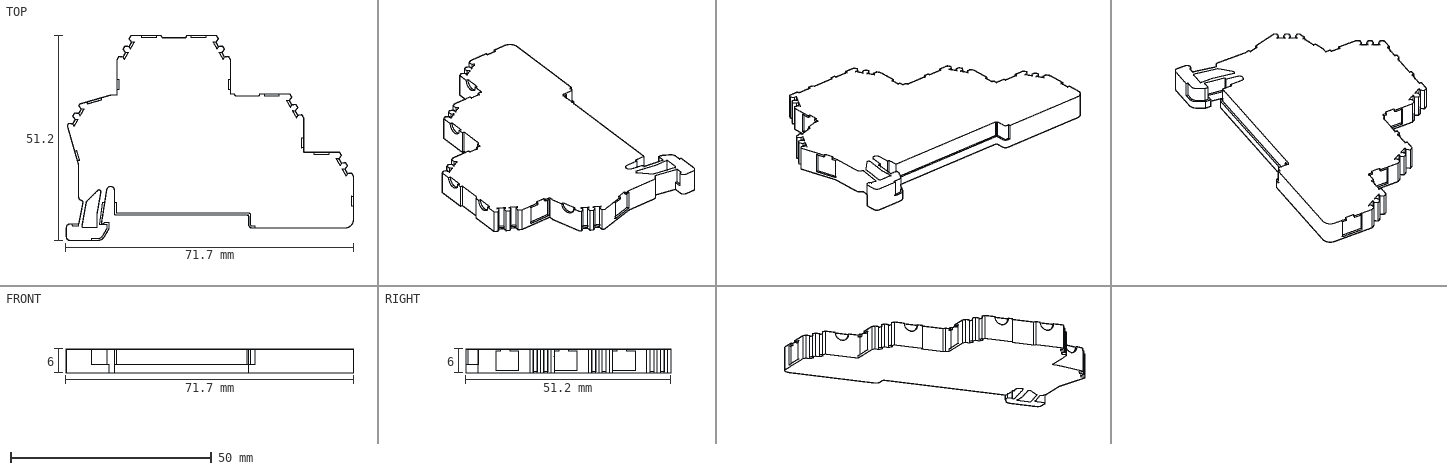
import cadquery as cq
import math

TOUCHING = 1e-6

LENGTH = 71.7
HEIGHT = 51.2
THICKNESS = 6.0

DECK_PITCH = 14.55
TOP_DECK = HEIGHT
MIDDLE_DECK = TOP_DECK - DECK_PITCH
LOW_DECK = MIDDLE_DECK - DECK_PITCH
TOWER_LEFT = 12.65
TOWER_RIGHT = 41.0
MIDDLE_RIGHT = 59.3
BOTTOM = 3.1
END_RADIUS = 2.2

BEVEL_ANGLE = 60.0
BEVEL_RUN = 3.5
BEVEL_RISE = BEVEL_RUN * math.tan(math.radians(BEVEL_ANGLE))

SLOT_PITCH = 3.0
SLOT_WIDTH = 2.05
NECK_WIDTH = 1.2
NECK_DEPTH = 0.95
UNDERCUT_DEPTH = 1.55
UNDERCUT_FLOOR = 0.45

TILT = 16.0
TILT_SLOPE = math.tan(math.radians(TILT))
TILT_DECK_END = 11.3
TILT_DECK_TOP = 36.4
TILT_BEVEL_SHIFT = (-12.55, -16.7)
LEFT_WALL = 3.05
TILT_WALL_BOTTOM = 18.9
TILT_CORNER_RADIUS = 0.4

RIM_DEPTH = 0.55
BRIDGE_RAMP = 0.45
TOWER_BRIDGE = (23.6, 30.0)
TOWER_BRIDGE_END_RAMP = 0.15
MIDDLE_BRIDGE = (41.85, 48.2)
MIDDLE_BRIDGE_END_RAMP = 0.05
BORE_SETBACK = 8.0
TILT_BORE_SETBACK = 4.55
BORE_RADIUS = 1.85
WINDOW_LENGTH = 5.65
WINDOW_BOTTOM = 0.65
WINDOW_TOP = 5.5
PRY_LENGTH = 2.4
PRY_CENTER = 2.3

RAIL_SEAT = 6.35
SEAT_LEFT = 12.0
SEAT_RIGHT = 45.5
SEAT_RADIUS = 0.4
SEAT_CORNER_RADIUS = 0.95
RELIEF_FLOOR = 2.15
RELIEF_STEP = 0.5
RELIEF_HEIGHT = 9.5
RELIEF_RIGHT_END = 47.1
FOOT_RELIEF_START = 6.25
FOOT_TOP_LEFT = 4.2
FOOT_TOP_RIGHT = 4.55
FOOT_RIGHT = 10.7
TOE_ANGLE = 60.0
TOE_TOP = 3.0
TOE_TIP = FOOT_RIGHT - TOE_TOP / math.tan(math.radians(TOE_ANGLE))
TOE_RADIUS = 2.0
FOOT_CORNER_RADIUS = 1.0
FOOT_NOTCH_START = 1.3
LEG_FOOT_LEFT = 3.1
LEG_FOOT_RIGHT = 8.8
SLIT_TOP = 13.5
SLIT_TOP_LEFT = 10.25
SLIT_LEAN = math.atan2(SLIT_TOP_LEFT - LEG_FOOT_RIGHT, SLIT_TOP - FOOT_TOP_LEFT)
SLIT_RADIUS = (SEAT_LEFT - SLIT_TOP_LEFT) / (1 + math.tan(math.pi / 4 - SLIT_LEAN / 2))
LEG_ROOT = (4.2, 9.75)
LEG_ROOT_RADIUS = 0.3
LEFT_WALL_BOTTOM = 10.4
LEFT_WALL_RADIUS = 0.9
LEG_FILLET = 0.2
TOE_LEDGE_START = 9.3
TOE_LEDGE_RAMP = 0.2
RELIEF_LEG_LEFT = 9.05

OPENING_BOTTOM = 3.3
OPENING_BOTTOM_LEFT = 3.9
OPENING_RIGHT = 7.65
OPENING_BEND = 6.7
OPENING_SHOULDER = (5.05, 9.75)
OPENING_PEAK = (8.85, 13.5)
OPENING_RADIUS = 0.3
OPENING_PEAK_RADIUS = 0.45


def toward(start, end, distance):
    """Point at a distance from start on the way to end."""
    span = math.dist(start, end)
    return tuple(a + (b - a) * distance / span for a, b in zip(start, end))


def corner_stops(points, i, radius):
    """Start, crown and end of the fillet on corner i, or just the corner if it is sharp."""
    point = points[i]
    if not radius:
        return [point]
    before = points[i - 1]
    after = points[(i + 1) % len(points)]
    turn_in = math.atan2(before[1] - point[1], before[0] - point[0])
    turn_out = math.atan2(after[1] - point[1], after[0] - point[0])
    half = abs(math.remainder(turn_out - turn_in, math.tau)) / 2
    reach = radius / math.tan(half)
    start = toward(point, before, reach)
    end = toward(point, after, reach)
    chord_middle = tuple((a + b) / 2 for a, b in zip(start, end))
    crown = toward(point, chord_middle, radius / math.sin(half) - radius)
    return [start, crown, end]


def rounded_prism(corners, bottom, top):
    """Prism over a closed outline of (x, y) or (x, y, fillet radius) corners."""
    points = [corner[:2] for corner in corners]
    radii = [corner[2] if len(corner) > 2 else 0 for corner in corners]
    stops = [corner_stops(points, i, radius) for i, radius in enumerate(radii)]
    outline = cq.Workplane("XY").workplane(offset=bottom).moveTo(*stops[-1][-1])
    last_end = stops[-1][-1]
    for corner in stops:
        if math.dist(last_end, corner[0]) > TOUCHING:
            outline = outline.lineTo(*corner[0])
        if len(corner) > 1:
            outline = outline.threePointArc(corner[1], corner[2])
        last_end = corner[-1]
    return outline.close().extrude(top - bottom)


def tilted_corners():
    """Upper and lower corner of the bevel on the tilted deck."""
    run = 1 / math.tan(math.radians(BEVEL_ANGLE))
    bevel_x = TOWER_LEFT + BEVEL_RUN + TILT_BEVEL_SHIFT[0]
    bevel_y = TOP_DECK + TILT_BEVEL_SHIFT[1]
    deck_y_at_zero = TILT_DECK_TOP - TILT_SLOPE * TILT_DECK_END
    upper_x = (bevel_x - run * (bevel_y - deck_y_at_zero)) / (1 - run * TILT_SLOPE)
    upper_y = deck_y_at_zero + TILT_SLOPE * upper_x
    wall_x_at_zero = LEFT_WALL + TILT_SLOPE * TILT_WALL_BOTTOM
    lower_y = (wall_x_at_zero - bevel_x + run * bevel_y) / (run + TILT_SLOPE)
    lower_x = wall_x_at_zero - TILT_SLOPE * lower_y
    return (upper_x, upper_y), (lower_x, lower_y)


def plate():
    """Full-thickness body with the stepped decks and the outside of the foot."""
    tilt_upper, tilt_lower = tilted_corners()
    corners = [
        (TOWER_LEFT, TILT_DECK_TOP),
        (TOWER_LEFT, TOP_DECK - BEVEL_RISE),
        (TOWER_LEFT + BEVEL_RUN, TOP_DECK),
        (TOWER_RIGHT - BEVEL_RUN, TOP_DECK),
        (TOWER_RIGHT, TOP_DECK - BEVEL_RISE),
        (TOWER_RIGHT, MIDDLE_DECK),
        (MIDDLE_RIGHT - BEVEL_RUN, MIDDLE_DECK),
        (MIDDLE_RIGHT, MIDDLE_DECK - BEVEL_RISE),
        (MIDDLE_RIGHT, LOW_DECK),
        (LENGTH - BEVEL_RUN, LOW_DECK),
        (LENGTH, LOW_DECK - BEVEL_RISE),
        (LENGTH, BOTTOM, END_RADIUS),
        (SEAT_RIGHT, BOTTOM, SEAT_CORNER_RADIUS),
        (SEAT_RIGHT, RAIL_SEAT, SEAT_RADIUS),
        (SEAT_LEFT, RAIL_SEAT, SEAT_RADIUS),
        (SEAT_LEFT, SLIT_TOP, SLIT_RADIUS),
        (SLIT_TOP_LEFT, SLIT_TOP, SLIT_RADIUS),
        (LEG_FOOT_RIGHT, FOOT_TOP_LEFT, LEG_FILLET),
        (TOE_LEDGE_START, FOOT_TOP_LEFT),
        (TOE_LEDGE_START + TOE_LEDGE_RAMP, FOOT_TOP_RIGHT),
        (FOOT_RIGHT, FOOT_TOP_RIGHT),
        (FOOT_RIGHT, TOE_TOP),
        (TOE_TIP, 0, TOE_RADIUS),
        (0, 0, FOOT_CORNER_RADIUS),
        (0, FOOT_TOP_LEFT, FOOT_CORNER_RADIUS),
        (LEG_FOOT_LEFT, FOOT_TOP_LEFT),
        (*LEG_ROOT, LEG_ROOT_RADIUS),
        (LEFT_WALL, LEFT_WALL_BOTTOM, LEFT_WALL_RADIUS),
        (LEFT_WALL, TILT_WALL_BOTTOM),
        (*tilt_lower, TILT_CORNER_RADIUS),
        (*tilt_upper, TILT_CORNER_RADIUS),
        (TILT_DECK_END, TILT_DECK_TOP),
    ]
    return rounded_prism(corners, 0, THICKNESS)


def leg_opening():
    """Opening between the two legs of the spring foot."""
    corners = [
        (*OPENING_SHOULDER, OPENING_RADIUS),
        (*OPENING_PEAK, OPENING_PEAK_RADIUS),
        (OPENING_RIGHT, OPENING_BEND),
        (OPENING_RIGHT, OPENING_BOTTOM),
        (OPENING_BOTTOM_LEFT, OPENING_BOTTOM, OPENING_RADIUS),
    ]
    return rounded_prism(corners, 0, THICKNESS)


def rail_relief():
    """Step cut back along the rail seat, the slit and the foot."""
    seat = [
        (SEAT_LEFT, RELIEF_HEIGHT),
        (SEAT_LEFT + RELIEF_STEP, RELIEF_HEIGHT),
        (SEAT_LEFT + RELIEF_STEP, RAIL_SEAT + RELIEF_STEP),
        (SEAT_RIGHT + RELIEF_STEP, RAIL_SEAT + RELIEF_STEP, SEAT_RADIUS),
        (SEAT_RIGHT + RELIEF_STEP, BOTTOM + RELIEF_STEP, SEAT_RADIUS),
        (RELIEF_RIGHT_END, BOTTOM + RELIEF_STEP),
        (RELIEF_RIGHT_END, BOTTOM),
        (SEAT_RIGHT, BOTTOM),
        (SEAT_RIGHT, RAIL_SEAT),
        (SEAT_LEFT, RAIL_SEAT),
    ]
    foot_top = FOOT_TOP_RIGHT - RELIEF_STEP
    right_leg = [
        (RELIEF_LEG_LEFT, RELIEF_HEIGHT),
        (SLIT_TOP_LEFT, RELIEF_HEIGHT),
        (FOOT_RIGHT, FOOT_TOP_RIGHT),
        (FOOT_RIGHT, foot_top),
        (LEG_FOOT_RIGHT - RELIEF_STEP, foot_top),
    ]
    left_notch = [
        (FOOT_NOTCH_START, FOOT_TOP_LEFT),
        (FOOT_NOTCH_START + RELIEF_STEP / 2, FOOT_TOP_LEFT - RELIEF_STEP),
        (LEG_FOOT_LEFT, FOOT_TOP_LEFT - RELIEF_STEP),
        (LEG_FOOT_LEFT, FOOT_TOP_LEFT),
    ]
    toe_right = FOOT_RIGHT - RELIEF_STEP
    toe_tip = TOE_TIP - RELIEF_STEP * math.tan(math.radians(TOE_ANGLE / 2))
    toe_top = RELIEF_STEP + (toe_right - toe_tip) * math.tan(math.radians(TOE_ANGLE))
    toe = [
        (FOOT_RELIEF_START, 0),
        (FOOT_RELIEF_START, RELIEF_STEP),
        (toe_tip, RELIEF_STEP, TOE_RADIUS - RELIEF_STEP),
        (toe_right, toe_top),
        (toe_right, foot_top),
        (FOOT_RIGHT, foot_top),
        (FOOT_RIGHT, 0),
    ]
    cutter = rounded_prism(seat, RELIEF_FLOOR, THICKNESS)
    for corners in (right_leg, left_notch, toe):
        cutter = cutter.union(rounded_prism(corners, RELIEF_FLOOR, THICKNESS))
    return cutter


def marker_slots():
    """Pair of slots for a bevel centred on the origin; +X points into the plate."""
    margin = 0.5
    half_mouth = SLOT_WIDTH / 2
    half_neck = NECK_WIDTH / 2
    mouth = [
        (-margin, -half_mouth),
        (0, -half_mouth),
        (NECK_DEPTH, -half_neck),
        (NECK_DEPTH, half_neck),
        (0, half_mouth),
        (-margin, half_mouth),
    ]
    undercut = [
        (NECK_DEPTH, -half_neck),
        (UNDERCUT_DEPTH, -half_mouth),
        (UNDERCUT_DEPTH, half_mouth),
        (NECK_DEPTH, half_neck),
    ]
    slot = rounded_prism(mouth, 0, THICKNESS)
    slot = slot.union(rounded_prism(undercut, UNDERCUT_FLOOR, THICKNESS))
    half_pitch = SLOT_PITCH / 2
    return slot.translate((0, -half_pitch, 0)).union(slot.translate((0, half_pitch, 0)))


def slots_on_bevel(corner_x, deck_y, side):
    """Slots for the bevel of a deck whose square corner is given; side is -1 left, +1 right."""
    center = (corner_x - side * BEVEL_RUN / 2, deck_y - BEVEL_RISE / 2, 0)
    slots = marker_slots().rotate((0, 0, 0), (0, 0, 1), BEVEL_ANGLE - 90)
    if side > 0:
        slots = slots.mirror("YZ")
    return slots.translate(center)


def screw_bore():
    """Shallow bore sunk along -Y from the XZ plane, centred on the top face so half of it is cut."""
    return cq.Workplane("XZ").center(0, THICKNESS).circle(BORE_RADIUS).extrude(RIM_DEPTH)


def label_window():
    """Window rising along Y from the origin in a wall at X = 0, with a pry notch open on top."""
    window_height = WINDOW_TOP - WINDOW_BOTTOM
    window = (
        cq.Workplane("XY").box(2 * RIM_DEPTH, WINDOW_LENGTH, window_height)
        .translate((0, WINDOW_LENGTH / 2, WINDOW_BOTTOM + window_height / 2))
    )
    pry_height = THICKNESS - WINDOW_BOTTOM
    pry = (
        cq.Workplane("XY").box(2 * RIM_DEPTH, PRY_LENGTH, pry_height)
        .translate((0, PRY_CENTER, WINDOW_BOTTOM + pry_height / 2))
    )
    return window.union(pry)


def bridge_relief(left, right, end_ramp, deck_y):
    """Shallow ramped relief in a deck between two terminals."""
    corners = [
        (left, deck_y),
        (left + BRIDGE_RAMP, deck_y - RIM_DEPTH),
        (right - end_ramp, deck_y - RIM_DEPTH),
        (right, deck_y),
    ]
    return rounded_prism(corners, 0, THICKNESS)


def with_marker_slots(body):
    """Cut the marker slots into every bevel."""
    bevels = [
        (TOWER_LEFT, TOP_DECK, -1),
        (TOWER_RIGHT, TOP_DECK, 1),
        (MIDDLE_RIGHT, MIDDLE_DECK, 1),
        (LENGTH, LOW_DECK, 1),
        (TOWER_LEFT + TILT_BEVEL_SHIFT[0], TOP_DECK + TILT_BEVEL_SHIFT[1], -1),
    ]
    for corner_x, deck_y, side in bevels:
        body = body.cut(slots_on_bevel(corner_x, deck_y, side))
    return body


def with_screw_bores(body):
    """Sink one bore per terminal into the decks."""
    bores = [
        (TOWER_LEFT + BORE_SETBACK, TOP_DECK),
        (TOWER_RIGHT - BORE_SETBACK, TOP_DECK),
        (MIDDLE_RIGHT - BORE_SETBACK, MIDDLE_DECK),
        (LENGTH - BORE_SETBACK, LOW_DECK),
    ]
    for x, deck_y in bores:
        body = body.cut(screw_bore().translate((x, deck_y, 0)))
    tilted_bore = (
        screw_bore().translate((-TILT_BORE_SETBACK, 0, 0))
        .rotate((0, 0, 0), (0, 0, 1), TILT)
        .translate((TILT_DECK_END, TILT_DECK_TOP, 0))
    )
    return body.cut(tilted_bore)


def with_label_windows(body):
    """Cut a label window into the wall below each bevel."""
    walls = [
        (TOWER_LEFT, MIDDLE_DECK),
        (TOWER_RIGHT, MIDDLE_DECK),
        (MIDDLE_RIGHT, LOW_DECK),
        (LENGTH, LOW_DECK - DECK_PITCH),
    ]
    for x, foot_y in walls:
        body = body.cut(label_window().translate((x, foot_y, 0)))
    tilted_window = (
        label_window().rotate((0, 0, 0), (0, 0, 1), TILT)
        .translate((LEFT_WALL, TILT_WALL_BOTTOM, 0))
    )
    return body.cut(tilted_window)


def with_bridge_reliefs(body):
    """Cut the reliefs in the tower top and in the middle deck."""
    body = body.cut(bridge_relief(*TOWER_BRIDGE, TOWER_BRIDGE_END_RAMP, TOP_DECK))
    return body.cut(bridge_relief(*MIDDLE_BRIDGE, MIDDLE_BRIDGE_END_RAMP, MIDDLE_DECK))


body = plate().cut(leg_opening()).cut(rail_relief())
body = with_marker_slots(body)
body = with_screw_bores(body)
body = with_label_windows(body)
result = with_bridge_reliefs(body)